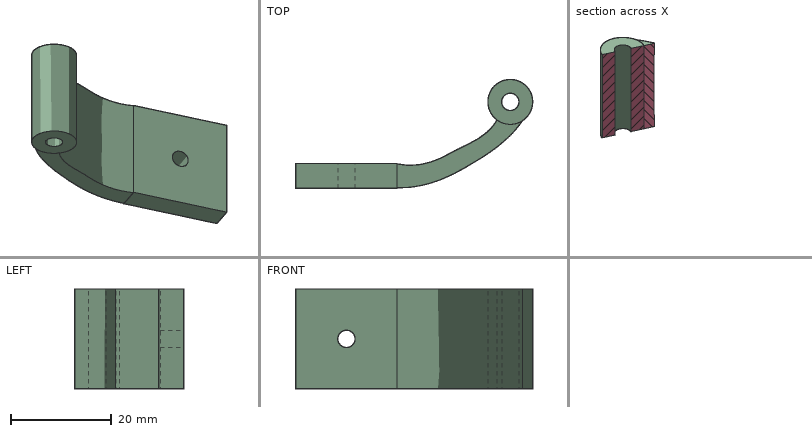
import cadquery as cq

height = 20.0

plate_length = 20.25
plate_thickness = 5.0
hole_diameter = 3.4

overall_length = 47.35
overall_depth = 21.8
barrel_diameter = 9.0
barrel_radius = barrel_diameter / 2
barrel_x = overall_length - barrel_radius
barrel_y = overall_depth - barrel_radius

arm_inset = 0.1
arm_end_y = 13.7
arm_front_start = (plate_length, arm_inset)
arm_front_bend = [(25.9, 0.75), (28.9, 1.7), (34.55, 4.55), (39.65, 7.85), (43.55, 11.3)]
arm_front_end = (45.4, arm_end_y)
arm_back_end = (40.2, arm_end_y)
arm_back_bend = [(38.4, 11.4), (36.7, 10.1), (32.48, 7.9), (29.05, 6.1), (24.85, 4.8)]
arm_back_start = (plate_length, plate_thickness - arm_inset)


def make_plate():
    """Rectangular plate with a through hole along Y at the centre of its face."""
    hole = (
        cq.Workplane("XZ", origin=(plate_length / 2, 0, height / 2))
        .circle(hole_diameter / 2)
        .extrude(-plate_thickness)
    )
    plate = cq.Workplane("XY").box(plate_length, plate_thickness, height, centered=False)
    return plate.cut(hole)


def barrel_envelope():
    """Solid cylinder filled by the barrel, before boring."""
    return cq.Workplane("XY").center(barrel_x, barrel_y).circle(barrel_radius).extrude(height)


def make_barrel():
    """Round barrel with a pin bore through its full height."""
    return barrel_envelope().faces(">Z").workplane().hole(hole_diameter)


def make_arm():
    """S-curved arm whose far end is hollowed to seat against the barrel."""
    blank = (
        cq.Workplane("XY")
        .moveTo(*arm_front_start)
        .spline([*arm_front_bend, arm_front_end], includeCurrent=True)
        .lineTo(*arm_back_end)
        .spline([*arm_back_bend, arm_back_start], includeCurrent=True)
        .close()
        .extrude(height)
    )
    return blank.cut(barrel_envelope())


plate = make_plate()
arm = make_arm()
barrel = make_barrel()

result = cq.Compound.makeCompound([plate.solids().val(), arm.solids().val(), barrel.solids().val()])